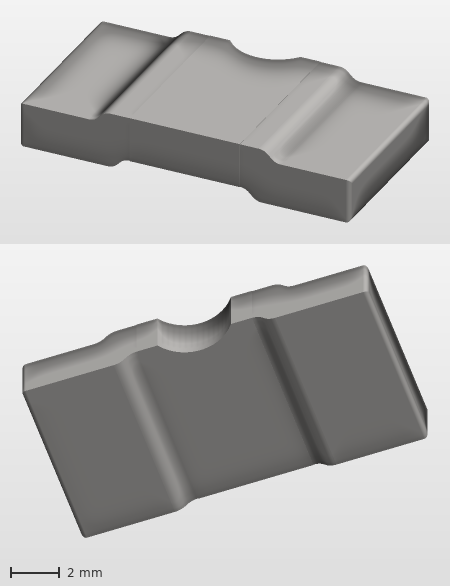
import cadquery as cq
import math

length = 15.0
body_width = 7.62
height = 2.5
terminal_thickness = 2.0

body_overhang = 0.01
body_thickness = terminal_thickness + 2 * body_overhang
terminal_width = body_width - 2 * body_overhang
terminal_top = height - body_overhang
step = terminal_top - terminal_thickness

body_length = 5.0

bend_radius = 0.6
bend_angle = math.radians(45)
top_bend_start = 3.15
bottom_bend_start = 4.0
end_fillet = 0.2

notch_radius = 2.0
notch_depth = 0.8

bend_run = bend_radius * math.sin(bend_angle)
bend_rise = bend_radius * (1 - math.cos(bend_angle))
rise_run = 2 * bend_run + (step - 2 * bend_rise) / math.tan(bend_angle)
half_bend_run = bend_radius * math.sin(bend_angle / 2)
half_bend_rise = bend_radius * (1 - math.cos(bend_angle / 2))


def draw_rise(sketch, x, z, direction):
    """Draw bend, ramp and bend; direction is 1 going up and -1 going down.

    The rise has point symmetry, so the downward path is the upward one reversed.
    """
    end_x = x + direction * rise_run
    end_z = z + direction * step

    def from_start(run, rise):
        return (x + direction * run, z + direction * rise)

    def from_end(run, rise):
        return (end_x - direction * run, end_z - direction * rise)

    return (
        sketch.lineTo(x, z)
        .threePointArc(from_start(half_bend_run, half_bend_rise), from_start(bend_run, bend_rise))
        .lineTo(*from_end(bend_run, bend_rise))
        .threePointArc(from_end(half_bend_run, half_bend_rise), (end_x, end_z))
    )


def make_terminal():
    """Left terminal, from the outer end to the middle block."""
    outer_x = -length / 2
    inner_x = -body_length / 2
    sketch = cq.Workplane("XZ").moveTo(outer_x, 0)
    sketch = draw_rise(sketch, outer_x + bottom_bend_start, 0, 1)
    sketch = sketch.lineTo(inner_x, step).lineTo(inner_x, terminal_top)
    sketch = draw_rise(sketch, outer_x + top_bend_start + rise_run, terminal_top, -1)
    terminal = sketch.lineTo(outer_x, terminal_thickness).close().extrude(terminal_width / 2, both=True)
    return terminal.faces("<X").edges().fillet(end_fillet)


def make_body():
    """Middle block with the round notch cut through its thickness."""
    body = cq.Workplane("XY").box(body_length, body_width, body_thickness, centered=(True, True, False))
    notch_y = body_width / 2 - notch_depth + notch_radius
    notch = cq.Workplane("XY").center(0, notch_y).circle(notch_radius).extrude(body_thickness)
    return body.cut(notch).translate((0, 0, height - body_thickness))


left_terminal = make_terminal()
right_terminal = left_terminal.mirror("YZ")
result = make_body().union(left_terminal).union(right_terminal)